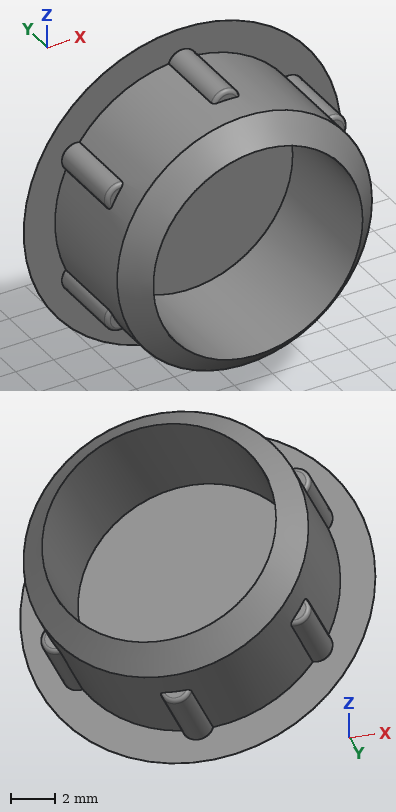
import cadquery as cq

HEAD_RADIUS = 8.35
DOME_HEIGHT = 1.5
BODY_RADIUS = 6.7
BODY_LENGTH = 6.8
BORE_RADIUS = 5.5
BORE_DEPTH = 6.3

CHAMFER = BODY_RADIUS - BORE_RADIUS

RIB_COUNT = 6
RIB_RADIUS = 0.75
RIB_TIP_RADIUS = 7.2
RIB_CENTER_RADIUS = RIB_TIP_RADIUS - RIB_RADIUS
RIB_LENGTH = 4.0
RIB_END_FILLET = 0.2


def dome_height_at(radius):
    """Height of the spherical dome above the head underside."""
    sphere_radius = (HEAD_RADIUS**2 + DOME_HEIGHT**2) / (2 * DOME_HEIGHT)
    sphere_center = DOME_HEIGHT - sphere_radius
    return sphere_center + (sphere_radius**2 - radius**2) ** 0.5


def make_shell():
    """Revolve the half section of the domed head and the hollow body."""
    bore_floor = BORE_DEPTH - BODY_LENGTH
    arc_middle = HEAD_RADIUS / 2
    return (
        cq.Workplane("XY")
        .moveTo(0, bore_floor)
        .lineTo(BORE_RADIUS, bore_floor)
        .lineTo(BORE_RADIUS, -BODY_LENGTH)
        .lineTo(BODY_RADIUS, CHAMFER - BODY_LENGTH)
        .lineTo(BODY_RADIUS, 0)
        .lineTo(HEAD_RADIUS, 0)
        .threePointArc((arc_middle, dome_height_at(arc_middle)), (0, DOME_HEIGHT))
        .close()
        .revolve(360, (0, 0, 0), (0, 1, 0))
    )


def make_rib(angle):
    """Round grip rib with a filleted end, partly sunk into the body wall."""
    return (
        cq.Workplane("XZ")
        .center(0, RIB_CENTER_RADIUS)
        .circle(RIB_RADIUS)
        .extrude(RIB_LENGTH)
        .faces("<Y")
        .edges()
        .fillet(RIB_END_FILLET)
        .rotate((0, 0, 0), (0, 1, 0), angle)
    )


result = make_shell()
for index in range(RIB_COUNT):
    result = result.union(make_rib(index * 360 / RIB_COUNT))